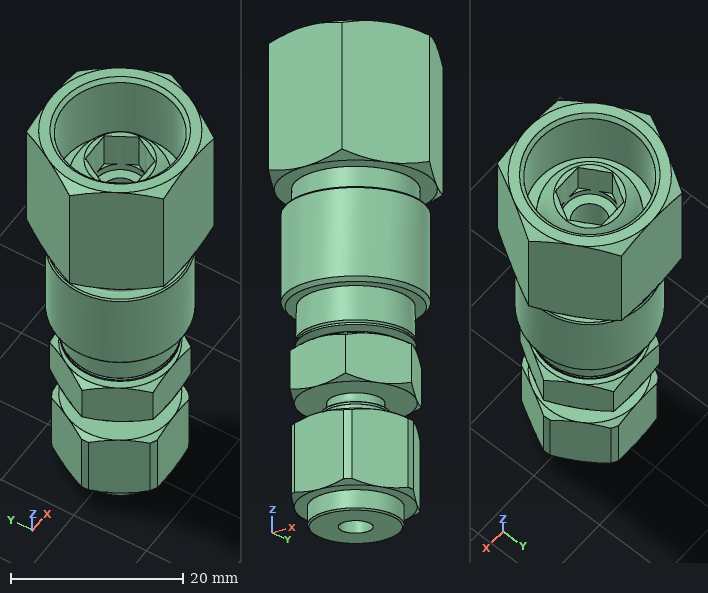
import cadquery as cq
import math


CAP_CHAMFER = 0.2
TUBE_NUT_BOTTOM = 2.47
TUBE_NUT_TOP = 12.02
GLAND_RIM_BOTTOM = 13.75
GLAND_RIM_TOP = 14.05
FITTING_HEX_BOTTOM = 15.37
FITTING_HEX_TOP = 21.42
RELIEF_TOP = 22.0
FLANGE_BOTTOM = 22.48
FLANGE_TOP = 22.72
THREAD_START = 23.05
NIPPLE_BOTTOM = 27.36
THREAD_LENGTH = 14.2
THREAD_TOP = FITTING_HEX_TOP + THREAD_LENGTH
COLLAR_TOP = 39.05
COUPLING_NUT_BOTTOM = 41.97
TOTAL_HEIGHT = 59.41

FITTING_ACROSS_FLATS = 14.29
TUBE_NUT_CORNER_RADIUS = 7.98
TUBE_NUT_TURN = 1.7
CAP_RADIUS = 5.62
GLAND_RADIUS = 3.95
GLAND_RIM_RADIUS = 3.98
GLAND_FILLET = 0.6
GLAND_NECK_RADIUS = GLAND_RIM_RADIUS - GLAND_FILLET
RELIEF_RADIUS = 6.05
THREAD_RADIUS = 7.02
THREAD_TAPER = 1 / 32
THREAD_CHAMFER = 0.25
FITTING_BORE_RADIUS = 2.03

COLLAR_RADIUS = 8.7
COLLAR_BOTTOM_CHAMFER = 0.5
COLLAR_TOP_CHAMFER = 0.2
SHANK_RADIUS = 7.45
SHANK_FILLET = 0.25
SHOULDER_THICKNESS = 2.0
NOSE_RADIUS = 6.24
NOSE_TIP_RADIUS = 4.2
NOSE_TIP_DEPTH = 5.3
NOSE_HEIGHT = math.sqrt(NOSE_RADIUS**2 - NOSE_TIP_RADIUS**2)
SOCKET_ACROSS_FLATS = 7.0
SOCKET_DEPTH = 5.0
SOCKET_DRILL_RADIUS = 3.54
SOCKET_DRILL_DEPTH = 6.0
NIPPLE_BORE_RADIUS = 2.27
NOSE_TIP = TOTAL_HEIGHT - NOSE_TIP_DEPTH
SHOULDER_TOP = NOSE_TIP - NOSE_HEIGHT

COUPLING_ACROSS_FLATS = 18.94
COUPLING_BORE_RADIUS = 7.65
COUPLING_BORE_CHAMFER = 0.5

HEX_BEVEL_ANGLE = math.radians(30)


def disc(radius, bottom, top):
    return cq.Workplane("XY").workplane(offset=bottom).circle(radius).extrude(top - bottom)


def plain_hexagon(across_flats, bottom, top):
    """Hexagonal prism with two corners on the X axis."""
    across_corners = across_flats / math.cos(math.pi / 6)
    return cq.Workplane("XY").workplane(offset=bottom).polygon(6, across_corners).extrude(top - bottom)


def bevelled_hexagon(across_flats, bottom, top):
    """Hexagonal prism whose corners are bevelled by a cone at both ends."""
    flat_radius = across_flats / 2
    corner_radius = flat_radius / math.cos(math.pi / 6)
    bevel_height = (corner_radius - flat_radius) * math.tan(HEX_BEVEL_ANGLE)
    envelope = (
        cq.Workplane("XZ")
        .moveTo(0, bottom)
        .lineTo(flat_radius, bottom)
        .lineTo(corner_radius, bottom + bevel_height)
        .lineTo(corner_radius, top - bevel_height)
        .lineTo(flat_radius, top)
        .lineTo(0, top)
        .close()
        .revolve(360, (0, 0), (0, 1))
    )
    return plain_hexagon(across_flats, bottom, top).intersect(envelope)


def thread_radius(z):
    """Radius of the tapered thread envelope at level z."""
    return THREAD_RADIUS - (z - THREAD_START) * THREAD_TAPER


def make_tube_fitting():
    turned = (
        cq.Workplane("XZ")
        .moveTo(0, 0)
        .lineTo(CAP_RADIUS - CAP_CHAMFER, 0)
        .lineTo(CAP_RADIUS, CAP_CHAMFER)
        .lineTo(CAP_RADIUS, TUBE_NUT_TOP)
        .lineTo(GLAND_RADIUS, TUBE_NUT_TOP)
        .lineTo(GLAND_RADIUS, GLAND_RIM_BOTTOM)
        .lineTo(GLAND_RIM_RADIUS, GLAND_RIM_BOTTOM)
        .lineTo(GLAND_RIM_RADIUS, GLAND_RIM_TOP)
        .radiusArc((GLAND_NECK_RADIUS, GLAND_RIM_TOP + GLAND_FILLET), GLAND_FILLET)
        .lineTo(GLAND_NECK_RADIUS, FITTING_HEX_BOTTOM)
        .lineTo(RELIEF_RADIUS, FITTING_HEX_BOTTOM)
        .lineTo(RELIEF_RADIUS, RELIEF_TOP)
        .lineTo(THREAD_RADIUS, FLANGE_BOTTOM)
        .lineTo(THREAD_RADIUS, FLANGE_TOP)
        .lineTo(THREAD_RADIUS - THREAD_CHAMFER, FLANGE_TOP)
        .lineTo(THREAD_RADIUS, THREAD_START)
        .lineTo(thread_radius(THREAD_TOP), THREAD_TOP)
        .lineTo(0, THREAD_TOP)
        .close()
        .revolve(360, (0, 0), (0, 1))
    )
    tube_nut = bevelled_hexagon(FITTING_ACROSS_FLATS, TUBE_NUT_BOTTOM, TUBE_NUT_TOP)
    tube_nut = tube_nut.intersect(disc(TUBE_NUT_CORNER_RADIUS, TUBE_NUT_BOTTOM, TUBE_NUT_TOP))
    tube_nut = tube_nut.rotate((0, 0, 0), (0, 0, 1), TUBE_NUT_TURN)
    wrench_hex = bevelled_hexagon(FITTING_ACROSS_FLATS, FITTING_HEX_BOTTOM, FITTING_HEX_TOP)
    bore = disc(FITTING_BORE_RADIUS, 0, THREAD_TOP)
    return turned.union(tube_nut).union(wrench_hex).cut(bore)


def make_nipple():
    turned = (
        cq.Workplane("XZ")
        .moveTo(0, THREAD_TOP)
        .lineTo(thread_radius(THREAD_TOP), THREAD_TOP)
        .lineTo(thread_radius(NIPPLE_BOTTOM), NIPPLE_BOTTOM)
        .lineTo(COLLAR_RADIUS - COLLAR_BOTTOM_CHAMFER, NIPPLE_BOTTOM)
        .lineTo(COLLAR_RADIUS, NIPPLE_BOTTOM + COLLAR_BOTTOM_CHAMFER)
        .lineTo(COLLAR_RADIUS, COLLAR_TOP - COLLAR_TOP_CHAMFER)
        .lineTo(COLLAR_RADIUS - COLLAR_TOP_CHAMFER, COLLAR_TOP)
        .lineTo(SHANK_RADIUS + SHANK_FILLET, COLLAR_TOP)
        .radiusArc((SHANK_RADIUS, COLLAR_TOP + SHANK_FILLET), SHANK_FILLET)
        .lineTo(SHANK_RADIUS, SHOULDER_TOP - SHOULDER_THICKNESS)
        .lineTo(COUPLING_BORE_RADIUS, SHOULDER_TOP - SHOULDER_THICKNESS)
        .lineTo(COUPLING_BORE_RADIUS, SHOULDER_TOP)
        .lineTo(NOSE_RADIUS, SHOULDER_TOP)
        .radiusArc((NOSE_TIP_RADIUS, NOSE_TIP), -NOSE_RADIUS)
        .lineTo(0, NOSE_TIP)
        .close()
        .revolve(360, (0, 0), (0, 1))
    )
    socket = plain_hexagon(SOCKET_ACROSS_FLATS, NOSE_TIP - SOCKET_DEPTH, NOSE_TIP)
    socket_drill = disc(SOCKET_DRILL_RADIUS, NOSE_TIP - SOCKET_DRILL_DEPTH, NOSE_TIP)
    bore = disc(NIPPLE_BORE_RADIUS, THREAD_TOP, NOSE_TIP)
    return turned.cut(socket).cut(socket_drill).cut(bore)


def make_coupling_nut():
    opening = (
        cq.Workplane("XZ")
        .moveTo(0, COUPLING_NUT_BOTTOM)
        .lineTo(SHANK_RADIUS, COUPLING_NUT_BOTTOM)
        .lineTo(SHANK_RADIUS, SHOULDER_TOP - SHOULDER_THICKNESS)
        .lineTo(COUPLING_BORE_RADIUS, SHOULDER_TOP - SHOULDER_THICKNESS)
        .lineTo(COUPLING_BORE_RADIUS, TOTAL_HEIGHT - COUPLING_BORE_CHAMFER)
        .lineTo(COUPLING_BORE_RADIUS + COUPLING_BORE_CHAMFER, TOTAL_HEIGHT)
        .lineTo(0, TOTAL_HEIGHT)
        .close()
        .revolve(360, (0, 0), (0, 1))
    )
    return bevelled_hexagon(COUPLING_ACROSS_FLATS, COUPLING_NUT_BOTTOM, TOTAL_HEIGHT).cut(opening)


tube_fitting = make_tube_fitting()
nipple = make_nipple()
coupling_nut = make_coupling_nut()

result = cq.Compound.makeCompound([
    tube_fitting.solids().val(),
    nipple.solids().val(),
    coupling_nut.solids().val(),
])